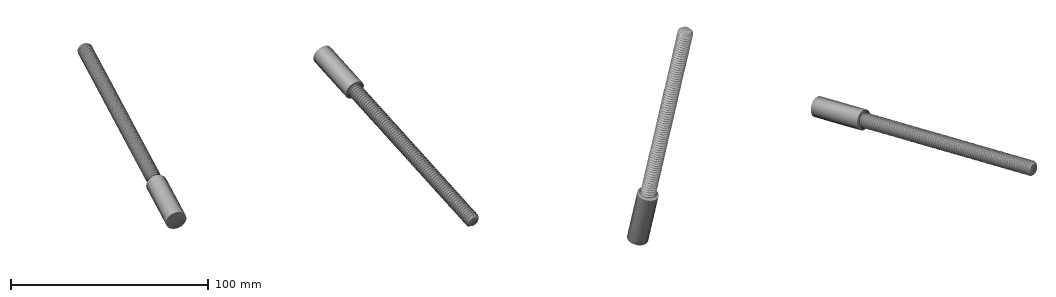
import cadquery as cq
import math

total_length = 140.0
sleeve_length = 30.0
sleeve_diameter = 11.0
rod_length = total_length - sleeve_length

thread_diameter = 8.0
thread_pitch = 1.5
flank_slope = math.tan(math.radians(30))
crest_flat = thread_pitch / 8
root_flat = thread_pitch / 4
thread_depth = (thread_pitch - crest_flat - root_flat) / (2 * flank_slope)
crest_radius = thread_diameter / 2
root_radius = crest_radius - thread_depth
groove_start_angle = 208.0

end_face_diameter = 5.6

stretch_turns = 10
stretch_length = stretch_turns * thread_pitch
stretch_count = math.ceil(rod_length / stretch_length)
blank_seam_angle = 100.0

joint_tolerance = 0.0001


def make_groove():
    """Helical cutter of trapezoid section, one turn longer than a stretch at each end."""
    overrun = thread_pitch
    clearance = 0.1
    outer_radius = crest_radius + clearance
    root_half = root_flat / 2
    outer_half = root_half + (outer_radius - root_radius) * flank_slope
    helix = cq.Wire.makeHelix(thread_pitch, stretch_length + 2 * overrun, root_radius)
    groove = (
        cq.Workplane("XZ")
        .moveTo(root_radius, -root_half)
        .lineTo(outer_radius, -outer_half)
        .lineTo(outer_radius, outer_half)
        .lineTo(root_radius, root_half)
        .close()
        .sweep(cq.Workplane(helix), isFrenet=True)
    )
    groove = groove.rotate((0, 0, 0), (1, 1, 1), 120)
    return groove.rotate((0, 0, 0), (1, 0, 0), groove_start_angle).translate((-overrun, 0, 0))


def make_stretch():
    """Threaded stretch with flat ends, starting at X = 0."""
    blank = (
        cq.Workplane("YZ")
        .circle(crest_radius)
        .extrude(stretch_length)
        .rotate((0, 0, 0), (1, 0, 0), blank_seam_angle)
    )
    return blank.cut(make_groove(), clean=False)


def make_end_envelope():
    """Cone that chamfers the free end, opening into a wide cylinder."""
    wide_radius = thread_diameter
    cone_length = wide_radius - end_face_diameter / 2
    return (
        cq.Workplane("XY")
        .lineTo(0, end_face_diameter / 2)
        .lineTo(cone_length, wide_radius)
        .lineTo(rod_length, wide_radius)
        .lineTo(rod_length, 0)
        .close()
        .revolve(360, (0, 0, 0), (1, 0, 0))
    )


def make_length_limit():
    return cq.Workplane("YZ").circle(thread_diameter).extrude(rod_length)


def is_inner_joint(face):
    """True for the flat faces where two stretches meet inside the rod."""
    position = face.Center().x
    return (
        face.geomType() == "PLANE"
        and joint_tolerance < position < rod_length - joint_tolerance
    )


def make_rod():
    stretch = make_stretch()
    stretches = [stretch.translate((i * stretch_length, 0, 0)) for i in range(stretch_count)]
    stretches[0] = stretches[0].intersect(make_end_envelope(), clean=False)
    stretches[-1] = stretches[-1].intersect(make_length_limit(), clean=False)
    skin = [
        face
        for part in stretches
        for face in part.faces().vals()
        if not is_inner_joint(face)
    ]
    closed_skin = cq.occ_impl.shapes.shell(*skin, tol=joint_tolerance)
    return cq.Workplane(cq.Solid.makeSolid(closed_skin))


def make_sleeve():
    return (
        cq.Workplane("YZ", origin=(rod_length, 0, 0))
        .circle(sleeve_diameter / 2)
        .extrude(sleeve_length)
    )


rod = make_rod()
sleeve = make_sleeve()

result = cq.Compound.makeCompound([rod.val(), sleeve.val()])